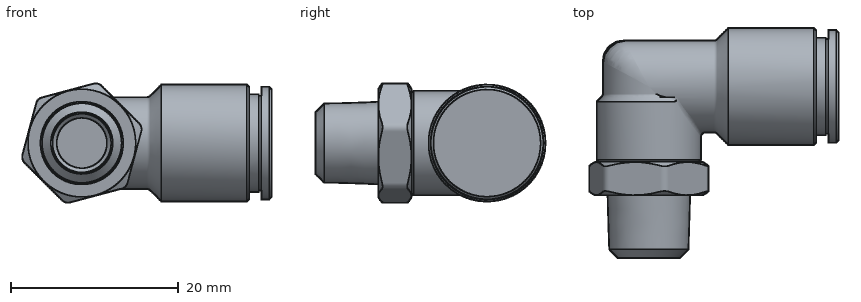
import cadquery as cq
import math


elbow_radius = 11 / 2
corner_round = 2.5

socket_radius = 14 / 2
socket_start_x = 9.5
socket_end_x = 20.0
socket_rim_chamfer = 0.3
neck_fillet = 0.5
sleeve_radius = 11.7 / 2
sleeve_end_x = 21.15
groove_radius = 11.35 / 2
collar_radius = 13.5 / 2
collar_start_x = 21.45
collar_end_x = 22.7
collar_chamfer = 0.35
shoulder_length = socket_radius - elbow_radius

body_radius = 12.5 / 2
body_top_y = -1.3
body_top_chamfer = 0.5
body_foot_chamfer = 0.25
root_fillet = 0.5

hex_top_y = -9.0
hex_height = 4.0
hex_across_flats = 13.0
hex_corner_round = 1.0
hex_turn = 15.0
hex_face_radius = 0.99 * hex_across_flats / 2
hex_chamfer_angle = 30.0

thread_length = 7.5
thread_root_radius = 9.9 / 2
thread_taper = 1 / 32
tip_chamfer = 1.05
bore_radius = 6 / 2
bore_chamfer = 0.5
hex_bottom_y = hex_top_y - hex_height
tip_y = hex_bottom_y - thread_length


def revolve_about_x(points):
    """Solid of revolution from (x, radius) points."""
    return cq.Workplane("XY").polyline(points).close().revolve(360, (0, 0, 0), (1, 0, 0))


def revolve_about_y(points):
    """Solid of revolution from (radius, y) points."""
    return cq.Workplane("XY").polyline(points).close().revolve(360, (0, 0, 0), (0, 1, 0))


def triangle_block(corner, reach):
    """Prism over half of a square, split by the diagonal through the origin along (1, 1)."""
    outline = [corner, (reach, reach), (-reach, -reach)]
    return cq.Workplane("XY").polyline(outline).close().extrude(reach, both=True)


def elbow():
    """Two mitred pipes whose outer corner edge is rounded."""
    tube_pipe = revolve_about_x([
        (-elbow_radius, 0),
        (socket_start_x, 0),
        (socket_start_x, elbow_radius),
        (-elbow_radius, elbow_radius),
    ])
    thread_pipe = revolve_about_y([
        (0, elbow_radius),
        (0, hex_top_y),
        (elbow_radius, hex_top_y),
        (elbow_radius, elbow_radius),
    ])
    reach = 2 * socket_start_x
    tube_side = cq.Workplane("XY").polyline([(-reach, reach), (reach, reach), (reach, -reach)]).close()
    tube_side = tube_side.extrude(reach, both=True)
    mitred = tube_pipe.intersect(tube_side).union(thread_pipe.cut(tube_side))

    outer_half = mitred.intersect(triangle_block((-reach, reach), reach))
    inner_half = mitred.intersect(triangle_block((reach, -reach), reach))
    outer_half = outer_half.edges("%ELLIPSE").edges("<(1,-1,0)").fillet(corner_round)
    return inner_half.union(outer_half)


def swivel_body():
    """Plain sleeve with chamfered top and foot rims."""
    return revolve_about_y([
        (0, hex_top_y),
        (body_radius - body_foot_chamfer, hex_top_y),
        (body_radius, hex_top_y + body_foot_chamfer),
        (body_radius, body_top_y - body_top_chamfer),
        (body_radius - body_top_chamfer, body_top_y),
        (0, body_top_y),
    ])


def root_bead():
    """Concave ring easing the elbow into the top of the swivel body."""
    bead_outer_radius = body_radius - body_top_chamfer
    centre_radius = elbow_radius + root_fillet
    centre_y = body_top_y + math.sqrt(root_fillet**2 - (centre_radius - bead_outer_radius)**2)
    half_sweep = math.asin((centre_y - body_top_y) / root_fillet) / 2
    middle = (
        centre_radius - root_fillet * math.cos(half_sweep),
        centre_y - root_fillet * math.sin(half_sweep),
    )
    profile = (
        cq.Workplane("XY")
        .moveTo(0, body_top_y)
        .lineTo(bead_outer_radius, body_top_y)
        .threePointArc(middle, (elbow_radius, centre_y))
        .lineTo(0, centre_y)
        .close()
    )
    return profile.revolve(360, (0, 0, 0), (0, 1, 0))


def swivel_elbow():
    """Elbow joined to its swivel body, with the roots between them filleted."""
    joined = elbow().union(swivel_body())
    bend_root = cq.selectors.BoxSelector(
        (elbow_radius / 4, body_top_y + root_fillet, -body_radius),
        (elbow_radius, -elbow_radius, body_radius),
    )
    joined = joined.edges("%BSPLINE").edges(bend_root).fillet(root_fillet)
    return joined.union(root_bead())


def tube_socket():
    """Stepped tube end: 45 degree shoulder, socket, release sleeve, groove and collar."""
    neck_x = socket_start_x - shoulder_length
    half_angle = math.radians(45 / 2)
    turn = neck_fillet * math.tan(half_angle)
    diagonal = turn * math.sqrt(0.5)
    fillet_start = (neck_x - turn, elbow_radius)
    fillet_middle = (
        neck_x - turn + neck_fillet * math.sin(half_angle),
        elbow_radius + neck_fillet * (1 - math.cos(half_angle)),
    )
    fillet_end = (neck_x + diagonal, elbow_radius + diagonal)
    profile = (
        cq.Workplane("XY")
        .moveTo(neck_x - turn, 0)
        .lineTo(*fillet_start)
        .threePointArc(fillet_middle, fillet_end)
        .lineTo(socket_start_x, socket_radius)
        .lineTo(socket_end_x - socket_rim_chamfer, socket_radius)
        .lineTo(socket_end_x, socket_radius - socket_rim_chamfer)
        .lineTo(socket_end_x, sleeve_radius)
        .lineTo(sleeve_end_x, sleeve_radius)
        .lineTo(sleeve_end_x, groove_radius)
        .lineTo(collar_start_x, groove_radius)
        .lineTo(collar_start_x, collar_radius)
        .lineTo(collar_end_x - collar_chamfer, collar_radius)
        .lineTo(collar_end_x, collar_radius - collar_chamfer)
        .lineTo(collar_end_x, 0)
        .close()
    )
    return profile.revolve(360, (0, 0, 0), (1, 0, 0))


def hexagon():
    """Hexagon with rounded corners, its two faces chamfered by cones."""
    across_corners = hex_across_flats / math.cos(math.radians(30))
    prism = (
        cq.Workplane("XZ", origin=(0, hex_top_y, 0))
        .polygon(6, across_corners)
        .extrude(hex_height)
        .edges("|Y")
        .fillet(hex_corner_round)
        .rotate((0, 0, 0), (0, 1, 0), -hex_turn)
    )
    outer_radius = across_corners / 2
    drop = (outer_radius - hex_face_radius) * math.tan(math.radians(hex_chamfer_angle))
    envelope = revolve_about_y([
        (0, hex_bottom_y),
        (hex_face_radius, hex_bottom_y),
        (outer_radius, hex_bottom_y + drop),
        (outer_radius, hex_top_y - drop),
        (hex_face_radius, hex_top_y),
        (0, hex_top_y),
    ])
    return prism.intersect(envelope)


def thread():
    """Tapered plug with a chamfered tip."""
    chamfer_y = tip_y + tip_chamfer
    chamfer_radius = thread_root_radius - thread_taper * (hex_bottom_y - chamfer_y)
    return revolve_about_y([
        (0, hex_bottom_y),
        (thread_root_radius, hex_bottom_y),
        (chamfer_radius, chamfer_y),
        (chamfer_radius - tip_chamfer, tip_y),
        (0, tip_y),
    ])


def bore():
    """Countersunk bore through the thread and the hexagon."""
    return revolve_about_y([
        (0, tip_y),
        (bore_radius + bore_chamfer, tip_y),
        (bore_radius, tip_y + bore_chamfer),
        (bore_radius, hex_top_y),
        (0, hex_top_y),
    ])


nipple = hexagon().union(thread()).cut(bore())
result = swivel_elbow().union(tube_socket()).union(nipple)